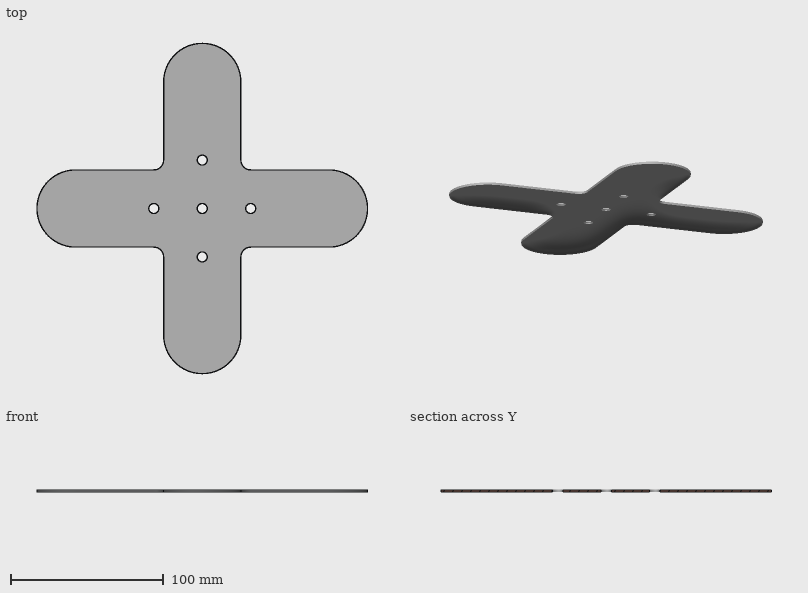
import cadquery as cq

length_x = 216.95
length_y = 216.75
thickness = 1.51
arm_width = 50.8
inner_corner_radius = 6.35

hole_diameter = 6.4
hole_offset = 31.75


def round_ended_bar(length, angle):
    """A flat bar centred on the origin, with full-round ends."""
    return cq.Workplane("XY").slot2D(length, arm_width, angle).extrude(thickness)


def cross_plate():
    """Two crossing bars with the four inner corners filleted."""
    cross = round_ended_bar(length_x, 0).union(round_ended_bar(length_y, 90))
    reach = arm_width
    corner_box = cq.selectors.BoxSelector((-reach, -reach, -reach), (reach, reach, reach))
    return cross.edges("|Z").edges(corner_box).fillet(inner_corner_radius)


def hole_cutters():
    """Cylinders for the center hole and the one hole on each arm."""
    centers = [
        (0, 0),
        (hole_offset, 0),
        (-hole_offset, 0),
        (0, hole_offset),
        (0, -hole_offset),
    ]
    return cq.Workplane("XY").pushPoints(centers).circle(hole_diameter / 2).extrude(thickness)


result = cross_plate().cut(hole_cutters())